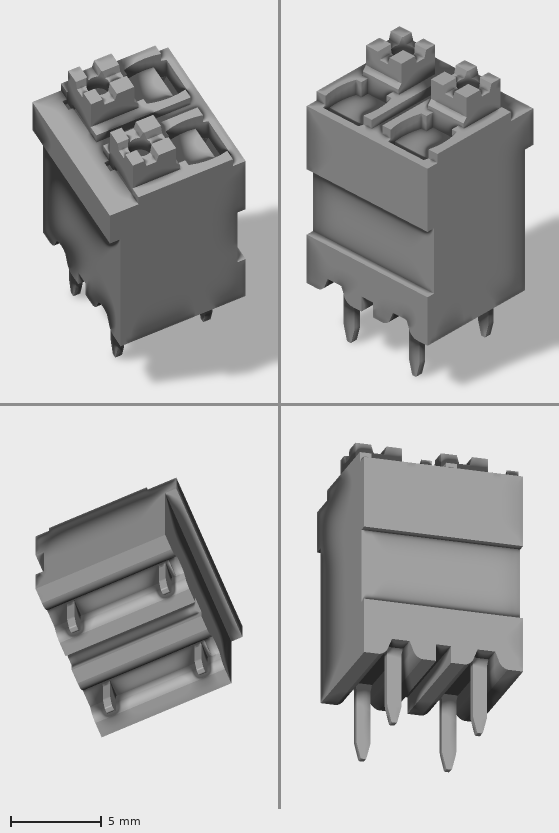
import cadquery as cq


TOTAL_HEIGHT = 17.7
PIN_LENGTH = 3.5

WIDTH = 9.25
DEPTH = 8.5
FRONT_Y = -DEPTH / 2
BACK_Y = DEPTH / 2
SHOULDER_Z = 11.7
LIP_BOTTOM_Z = 9.3
LIP_OVERHANG = 0.67
BODY_FRONT_Y = FRONT_Y + LIP_OVERHANG
BACK_GROOVE_BOTTOM_Z = 3.2
BACK_GROOVE_TOP_Z = 7.52
BACK_GROOVE_DEPTH = 0.51

POLE_X = 2.5
POLE_CENTRES = (-POLE_X, POLE_X)

RIM_TOP_Z = 12.3
RIM_FRONT_Y = -2.46
RIM_BACK_Y = 3.45
RIM_GAP = 0.81

ENTRY_FLOOR_Z = 11.3
ENTRY_FRONT_Y = 1.08
ENTRY_BACK_Y = 3.75
ENTRY_END_HALF_WIDTH = 1.36
ENTRY_MIDDLE_HALF_WIDTH = 1.58
NECK_WIDTH = 1.95
WIRE_HOLE_FRONT_Y = 3.03
WIRE_HOLE_MOUTH_Z = 10.27
WIRE_HOLE_FRONT_HALF_WIDTH = 1.52
WIRE_HOLE_END_HALF_WIDTH = 1.19
WIRE_HOLE_BOTTOM_Z = 9.45

BUTTON_WIDTH = 2.73
BUTTON_FRONT_Y = -2.4
BUTTON_BACK_Y = 0.3
BUTTON_FOOT_BACK_Y = 0.55
BUTTON_TOP_Z = TOTAL_HEIGHT - PIN_LENGTH
BUTTON_SLOPE_TOP_Z = 12.9
BUTTON_SLOPE_BOTTOM_Z = 12.6
BUTTON_UNDERSIDE_Z = 11.82
BUTTON_FOOT_WIDTH = 0.5
UNDERCUT_DEPTH = 1.0
GROOVE_DEPTH = 0.5
CROSS_GROOVE_TOP = 0.9
CROSS_GROOVE_BOTTOM = 0.62
CROSS_Y = -1.24
DIMPLE_DIAMETER = 1.33
DIMPLE_DEPTH = 1.5

POCKET_CLEARANCE = 0.05
POCKET_WIDTH = BUTTON_WIDTH + 2 * POCKET_CLEARANCE
KEY_NOTCH_WIDTH = 0.73
KEY_NOTCH_FRONT_Y = -2.75

SLOT_HEIGHT = 1.0
SLOT_WIDTH = 0.87
ARCH_HEIGHT = 1.17
ARCH_FOOT_HALF_WIDTH = 1.24
ARCH_FLARE_MIDDLE = (0.88, 0.2)
ARCH_FLARE_TOP = (0.7, 0.51)
ARCH_CROWN_HALF_WIDTH = 0.51
FRONT_WALL_THICKNESS = 0.5

PIN_WIDTH = 0.83
PIN_SHOULDER_WIDTH = 1.0
PIN_SHOULDER_HEIGHT = 0.39
PIN_TIP_WIDTH = 0.32
PIN_TAPER_TOP_Z = -2.51
PIN_TAPER_BLEND = 0.88
PIN_TIP_BLEND = 0.09
PIN_EMBEDDING = 0.35
CORNER_REACH = 0.02
FRONT_PIN_Y = (-2.87, -2.46)
BACK_PIN_Y = (2.64, 3.08)


def box(x_range, y_range, z_range):
    """Box between the given limits on each axis."""
    (x0, x1), (y0, y1), (z0, z1) = x_range, y_range, z_range
    return cq.Workplane("XY").box(x1 - x0, y1 - y0, z1 - z0, centered=False).translate((x0, y0, z0))


def centred_box(x, width, y_range, z_range):
    """Box of the given width centred on x."""
    return box((x - width / 2, x + width / 2), y_range, z_range)


def prism_along_y(sketch, y_range):
    """Extrude a closed XZ sketch over a range of Y."""
    y0, y1 = y_range
    return sketch.extrude(-(y1 - y0)).translate((0, y0, 0))



def housing_shell():
    """Block with an overhanging front lip and a groove across its back."""
    groove_y = BACK_Y - BACK_GROOVE_DEPTH
    profile = [
        (BODY_FRONT_Y, 0),
        (BODY_FRONT_Y, LIP_BOTTOM_Z),
        (FRONT_Y, LIP_BOTTOM_Z),
        (FRONT_Y, SHOULDER_Z),
        (BACK_Y, SHOULDER_Z),
        (BACK_Y, BACK_GROOVE_TOP_Z),
        (groove_y, BACK_GROOVE_TOP_Z),
        (groove_y, BACK_GROOVE_BOTTOM_Z),
        (BACK_Y, BACK_GROOVE_BOTTOM_Z),
        (BACK_Y, 0),
    ]
    return cq.Workplane("YZ").polyline(profile).close().extrude(WIDTH / 2, both=True)


def rims():
    """Raised pads of both poles, separated by the middle channel."""
    pad = centred_box(0, WIDTH, (RIM_FRONT_Y, RIM_BACK_Y), (SHOULDER_Z, RIM_TOP_Z))
    channel = centred_box(0, RIM_GAP, (RIM_FRONT_Y, RIM_BACK_Y), (SHOULDER_Z, RIM_TOP_Z))
    return pad.cut(channel)


def wire_entry(x):
    """Barrel-shaped opening with a flat floor and a neck that leads to the button pocket."""
    middle_y = (ENTRY_FRONT_Y + ENTRY_BACK_Y) / 2
    barrel = (
        cq.Workplane("XY")
        .moveTo(-ENTRY_END_HALF_WIDTH, ENTRY_FRONT_Y)
        .lineTo(ENTRY_END_HALF_WIDTH, ENTRY_FRONT_Y)
        .threePointArc((ENTRY_MIDDLE_HALF_WIDTH, middle_y), (ENTRY_END_HALF_WIDTH, ENTRY_BACK_Y))
        .lineTo(-ENTRY_END_HALF_WIDTH, ENTRY_BACK_Y)
        .threePointArc((-ENTRY_MIDDLE_HALF_WIDTH, middle_y), (-ENTRY_END_HALF_WIDTH, ENTRY_FRONT_Y))
        .close()
        .extrude(RIM_TOP_Z - WIRE_HOLE_MOUTH_Z)
        .translate((x, 0, WIRE_HOLE_MOUTH_Z))
    )
    below_floor = centred_box(
        x, WIDTH, (ENTRY_FRONT_Y, WIRE_HOLE_FRONT_Y), (WIRE_HOLE_MOUTH_Z, ENTRY_FLOOR_Z)
    )
    neck = centred_box(
        x, NECK_WIDTH, (BUTTON_FOOT_BACK_Y, ENTRY_FRONT_Y), (ENTRY_FLOOR_Z, RIM_TOP_Z)
    )
    return barrel.cut(below_floor).union(neck).union(wire_hole(x))


def wire_hole(x):
    """Wedge below the back of the wire entry; its back and side walls lean inwards."""
    back_corner = cq.Vector(ENTRY_END_HALF_WIDTH, ENTRY_BACK_Y, WIRE_HOLE_MOUTH_Z)
    front_corner = cq.Vector(WIRE_HOLE_FRONT_HALF_WIDTH, WIRE_HOLE_FRONT_Y, WIRE_HOLE_MOUTH_Z)
    bottom_corner = cq.Vector(WIRE_HOLE_END_HALF_WIDTH, WIRE_HOLE_FRONT_Y, WIRE_HOLE_BOTTOM_Z)
    right = [back_corner, front_corner, bottom_corner]
    left = [cq.Vector(-p.x, p.y, p.z) for p in right]
    outlines = [
        right,
        left,
        [right[0], right[1], left[1], left[0]],
        [right[1], right[2], left[2], left[1]],
        [right[2], right[0], left[0], left[2]],
    ]
    faces = [cq.Face.makeFromWires(cq.Wire.makePolygon(o, close=True)) for o in outlines]
    wedge = cq.Solid.makeSolid(cq.Shell.makeShell(faces))
    return cq.Workplane(wedge).translate((x, 0, 0))


def button_pocket(x):
    """Recess that holds a button, with a key notch at its front left corner."""
    recess = centred_box(
        x, POCKET_WIDTH, (RIM_FRONT_Y, BUTTON_FOOT_BACK_Y), (ENTRY_FLOOR_Z, RIM_TOP_Z)
    )
    notch_left = x - POCKET_WIDTH / 2
    notch = box(
        (notch_left, notch_left + KEY_NOTCH_WIDTH),
        (KEY_NOTCH_FRONT_Y, RIM_FRONT_Y),
        (ENTRY_FLOOR_Z, SHOULDER_Z),
    )
    return recess.union(notch)


def underside_arch(x):
    """Bell-shaped tunnel around the pins; its rounded crown stops behind the front wall."""
    flare_x, flare_z = ARCH_FLARE_MIDDLE
    side_x, side_z = ARCH_FLARE_TOP
    bell = (
        cq.Workplane("XZ")
        .moveTo(-ARCH_FOOT_HALF_WIDTH, 0)
        .threePointArc((-flare_x, flare_z), (-side_x, side_z))
        .lineTo(-ARCH_CROWN_HALF_WIDTH, SLOT_HEIGHT)
        .threePointArc((0, ARCH_HEIGHT), (ARCH_CROWN_HALF_WIDTH, SLOT_HEIGHT))
        .lineTo(side_x, side_z)
        .threePointArc((flare_x, flare_z), (ARCH_FOOT_HALF_WIDTH, 0))
        .close()
    )
    tunnel = prism_along_y(bell, (BODY_FRONT_Y, BACK_Y))
    crown_back_y = BODY_FRONT_Y + FRONT_WALL_THICKNESS
    crown = centred_box(0, WIDTH, (crown_back_y, BACK_Y), (SLOT_HEIGHT, ARCH_HEIGHT))
    return tunnel.cut(crown).translate((x, 0, 0))


def underside_slot():
    """Slot between the two poles."""
    return centred_box(0, SLOT_WIDTH, (BODY_FRONT_Y, BACK_Y), (0, SLOT_HEIGHT))


def solder_pin(x, y_range):
    """Flat pin with a flared shoulder at its root and a tapered tip."""
    half = PIN_WIDTH / 2
    shoulder_half = PIN_SHOULDER_WIDTH / 2
    tip_half = PIN_TIP_WIDTH / 2
    right_side = [
        (shoulder_half, SLOT_HEIGHT + PIN_EMBEDDING),
        (shoulder_half, SLOT_HEIGHT),
        (half, SLOT_HEIGHT - PIN_SHOULDER_HEIGHT),
        (half, PIN_TAPER_TOP_Z),
        (tip_half, -PIN_LENGTH),
    ]
    left_side = [(-px, pz) for px, pz in reversed(right_side)]
    outline = cq.Workplane("XZ").polyline(right_side + left_side).close()
    pin = prism_along_y(outline, y_range)
    middle_y = sum(y_range) / 2
    for z, radius in ((PIN_TAPER_TOP_Z, PIN_TAPER_BLEND), (-PIN_LENGTH, PIN_TIP_BLEND)):
        corner = cq.selectors.BoxSelector(
            (-PIN_WIDTH, middle_y - CORNER_REACH, z - CORNER_REACH),
            (PIN_WIDTH, middle_y + CORNER_REACH, z + CORNER_REACH),
        )
        pin = pin.edges("|Y").edges(corner).fillet(radius)
    return pin.translate((x, 0, 0))


def make_housing():
    """Housing with rims, openings, underside cut-outs and solder pins."""
    housing = housing_shell().union(rims()).cut(underside_slot())
    for x in POLE_CENTRES:
        housing = housing.cut(wire_entry(x)).cut(button_pocket(x)).cut(underside_arch(x))
    for x in POLE_CENTRES:
        for y_range in (FRONT_PIN_Y, BACK_PIN_Y):
            housing = housing.union(solder_pin(x, y_range))
    return housing



def cross_groove(plane, length):
    """Groove with sloping sides, through the button top along the normal of the plane."""
    return (
        cq.Workplane(plane)
        .polyline([
            (-CROSS_GROOVE_TOP / 2, BUTTON_TOP_Z),
            (CROSS_GROOVE_TOP / 2, BUTTON_TOP_Z),
            (CROSS_GROOVE_BOTTOM / 2, BUTTON_TOP_Z - GROOVE_DEPTH),
            (-CROSS_GROOVE_BOTTOM / 2, BUTTON_TOP_Z - GROOVE_DEPTH),
        ])
        .close()
        .extrude(length, both=True)
        .translate((0, CROSS_Y, 0))
    )


def make_button(x):
    """Push button with crossed grooves, a round dimple and an undercut beside its front foot."""
    profile = [
        (BUTTON_FRONT_Y, ENTRY_FLOOR_Z),
        (BUTTON_FRONT_Y, BUTTON_TOP_Z),
        (BUTTON_BACK_Y, BUTTON_TOP_Z),
        (BUTTON_BACK_Y, BUTTON_SLOPE_TOP_Z),
        (BUTTON_FOOT_BACK_Y, BUTTON_SLOPE_BOTTOM_Z),
        (BUTTON_FOOT_BACK_Y, ENTRY_FLOOR_Z),
    ]
    half = BUTTON_WIDTH / 2
    block = cq.Workplane("YZ").polyline(profile).close().extrude(half, both=True)
    undercut = box(
        (-half + BUTTON_FOOT_WIDTH, half),
        (BUTTON_FRONT_Y, BUTTON_FRONT_Y + UNDERCUT_DEPTH),
        (ENTRY_FLOOR_Z, BUTTON_UNDERSIDE_Z),
    )
    dimple = (
        cq.Workplane("XY")
        .circle(DIMPLE_DIAMETER / 2)
        .extrude(DIMPLE_DEPTH)
        .translate((0, CROSS_Y, BUTTON_TOP_Z - DIMPLE_DEPTH))
    )
    button = block.cut(undercut).cut(dimple)
    for plane in ("XZ", "YZ"):
        button = button.cut(cross_groove(plane, DEPTH))
    return button.translate((x, 0, 0))


housing = make_housing()
buttons = [make_button(x) for x in POLE_CENTRES]

result = cq.Compound.makeCompound([housing.val(), *[button.val() for button in buttons]])